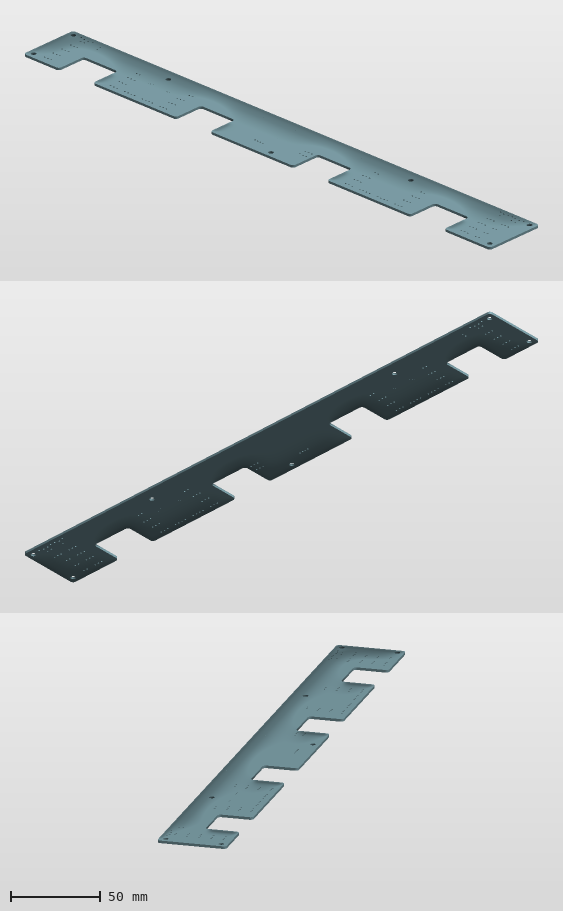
import cadquery as cq

LENGTH = 358.0
WIDTH = 40.0
THICKNESS = 1.5
OUTER_RADIUS = 2.0
NOTCH_RADIUS = 2.0

NOTCH_WIDTH = 26.0
NOTCH_PITCH = 90.0
NOTCH_COUNT = 4
FIRST_NOTCH_LEFT = -151.8

SCREW_HOLE = 3.2
SCREW_INSET = 4.0
INNER_SCREWS = [(-98.0, 11.8), (88.0, 11.8), (7.0, -16.0)]

PIN_HOLE = 0.95
PIN_PITCH = 2.5
ROW_PINS = 3
DRIVER_PINS = 4
ROW_COUNT = 4
ROW_SPAN = 21.0
ROW_PITCH = ROW_SPAN / (ROW_COUNT - 1)

TAB_REAR_ROW_Y = 6.0
LEFT_TAB_X = -165.0
RIGHT_TAB_X = 154.5
RIGHT_TAB_PAIR_X = 163.2

BLOCK_CENTERS = [-94.5, 86.0]
BLOCK_REAR_ROW_Y = 5.0
SIDE_COLUMN_OFFSET = 19.0
DRIVER_OFFSET = 6.8
REAR_PAIR_SIDES = [(-1, 1), (1, -1)]

VIA_HOLE = 0.2
VIA_PITCH = 0.93
VIA_COLUMNS = 4
VIA_ROWS = 3
VIA_Y = 0.55

POWER_HOLE = 1.0
POWER_ROWS = 2
POWER_PITCH = 3.0
POWER_FRONT_Y = 13.2
PEG_GAP = 3.0
PEG_RISE = 0.7
POWER_CONNECTORS = [(-165.5, 2), (155.0, 1), (165.5, 2)]

JUMPER_X = -153.2
JUMPER_Y = 13.5
SENSOR_X = 22.5
SENSOR_ROWS_Y = [-1.97, -6.5]
SIGNAL_X = -7.0
SIGNAL_Y = -10.7
SIGNAL_PITCH = 2.0
SIGNAL_PINS = 4


def centered_row(center_x, y, count, pitch=PIN_PITCH):
    """Points of an evenly spaced row along X."""
    first_x = center_x - pitch * (count - 1) / 2
    return [(first_x + i * pitch, y) for i in range(count)]


def row_places(rear_y):
    """Y of the connector rows, from the rear one to the front one."""
    return [rear_y - i * ROW_PITCH for i in range(ROW_COUNT)]


def tab_pins():
    """Pin holes of the connector rows on the left and right end tabs."""
    points = []
    for y in row_places(TAB_REAR_ROW_Y):
        points += centered_row(LEFT_TAB_X, y, ROW_PINS)
        points += centered_row(RIGHT_TAB_X, y, ROW_PINS)
        points += [(RIGHT_TAB_PAIR_X, y), (RIGHT_TAB_PAIR_X + PIN_PITCH, y)]
    points.append((RIGHT_TAB_PAIR_X + 2 * PIN_PITCH, TAB_REAR_ROW_Y))
    return points


def block_pins(center_x, pair_sides):
    """Pin holes of one driver block."""
    points = []
    rear_y, *front_rows = row_places(BLOCK_REAR_ROW_Y)
    front_y = front_rows[-1]
    for side, pair_side in zip((-1, 1), pair_sides):
        column_x = center_x + side * SIDE_COLUMN_OFFSET
        points += [(column_x, rear_y), (column_x + pair_side * PIN_PITCH, rear_y)]
        for y in front_rows:
            points += centered_row(column_x, y, ROW_PINS)
        points += centered_row(center_x + side * DRIVER_OFFSET, front_y, DRIVER_PINS)
    return points


def power_pins(center_x, columns):
    """Pin holes of one two-row power connector."""
    points = []
    for row in range(POWER_ROWS):
        points += centered_row(center_x, POWER_FRONT_Y + row * POWER_PITCH, columns, POWER_PITCH)
    return points


def power_pegs(center_x, columns):
    """The two peg holes beside one power connector."""
    peg_offset = POWER_PITCH * (columns - 1) / 2 + PEG_GAP
    peg_y = POWER_FRONT_Y + POWER_PITCH * (POWER_ROWS - 1) + PEG_RISE
    return [(center_x - peg_offset, peg_y), (center_x + peg_offset, peg_y)]


def header_pins():
    """Pin holes of the stand-alone headers."""
    points = [(JUMPER_X, JUMPER_Y + side * PIN_PITCH / 2) for side in (-1, 1)]
    for y in SENSOR_ROWS_Y:
        points += centered_row(SENSOR_X, y, ROW_PINS)
    return points + centered_row(SIGNAL_X, SIGNAL_Y, SIGNAL_PINS, SIGNAL_PITCH)


def via_points(center_x):
    """Thermal via grid under one driver."""
    points = []
    for row in range(VIA_ROWS):
        y = VIA_Y + (row - (VIA_ROWS - 1) / 2) * VIA_PITCH
        points += centered_row(center_x, y, VIA_COLUMNS, VIA_PITCH)
    return points


def screw_points():
    """Corner screw holes plus the inner ones."""
    x = LENGTH / 2 - SCREW_INSET
    y = WIDTH / 2 - SCREW_INSET
    return [(-x, -y), (-x, y), (x, -y), (x, y)] + INNER_SCREWS


def strip(front_y, rear_y):
    """Selector for what lies between two Y values, over the full board length."""
    return cq.selectors.BoxSelector((-LENGTH, front_y, -THICKNESS), (LENGTH, rear_y, 2 * THICKNESS))


def board_blank():
    """Plate with rounded corners and the notches along its front edge."""
    points = [(-LENGTH / 2, WIDTH / 2), (-LENGTH / 2, -WIDTH / 2)]
    for i in range(NOTCH_COUNT):
        left = FIRST_NOTCH_LEFT + i * NOTCH_PITCH
        right = left + NOTCH_WIDTH
        points += [(left, -WIDTH / 2), (left, 0), (right, 0), (right, -WIDTH / 2)]
    points += [(LENGTH / 2, -WIDTH / 2), (LENGTH / 2, WIDTH / 2)]
    blank = cq.Workplane("XY").polyline(points).close().extrude(THICKNESS)
    notch_roots = strip(-NOTCH_RADIUS, NOTCH_RADIUS)
    blank = blank.edges("|Z").edges(notch_roots).fillet(NOTCH_RADIUS)
    front_corners = strip(-WIDTH, -WIDTH / 2 + OUTER_RADIUS)
    rear_corners = strip(WIDTH / 2 - OUTER_RADIUS, WIDTH)
    return blank.edges("|Z").edges(front_corners + rear_corners).fillet(OUTER_RADIUS)


def drills(points, diameter):
    """Through drills at the given points."""
    return cq.Workplane("XY").pushPoints(points).circle(diameter / 2).extrude(THICKNESS)


pins = tab_pins() + header_pins()
vias = []
for block_x, pair_sides in zip(BLOCK_CENTERS, REAR_PAIR_SIDES):
    pins += block_pins(block_x, pair_sides)
    for side in (-1, 1):
        vias += via_points(block_x + side * DRIVER_OFFSET)

power_holes = []
for connector_x, column_count in POWER_CONNECTORS:
    power_holes += power_pins(connector_x, column_count)
    power_holes += power_pegs(connector_x, column_count)

result = (
    board_blank()
    .cut(drills(screw_points(), SCREW_HOLE))
    .cut(drills(pins, PIN_HOLE))
    .cut(drills(power_holes, POWER_HOLE))
    .cut(drills(vias, VIA_HOLE))
)